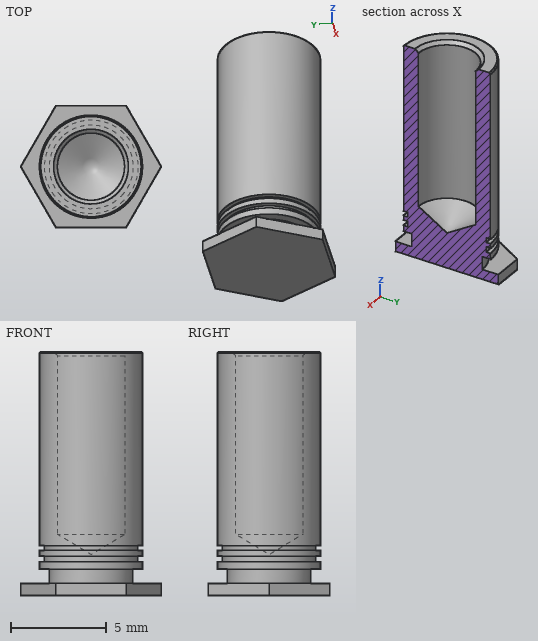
import cadquery as cq
import math

total_height = 12.7
hex_across_flats = 6.35
hex_thickness = 0.63

barrel_diameter = 5.38
groove_diameter = 4.88
neck_diameter = 4.37

neck_top = 1.38
lower_groove_bottom = 1.76
lower_groove_top = 2.05
upper_groove_bottom = 2.35
upper_groove_top = 2.6

rim_chamfer = 0.08
bore_chamfer = 0.2

bore_diameter = 3.5
bore_depth = 9.5
drill_point_angle = 118


def make_head():
    """Hexagonal head with two flats facing +Y and -Y."""
    across_corners = hex_across_flats / math.cos(math.radians(30))
    return cq.Workplane("XY").polygon(6, across_corners).extrude(hex_thickness)


def make_neck():
    """Narrow neck between the head and the barrel."""
    return cq.Workplane("XY").circle(neck_diameter / 2).extrude(neck_top)


def make_barrel():
    """Round barrel with a chamfered rim at its open end."""
    barrel_length = total_height - neck_top
    barrel = cq.Workplane("XY", origin=(0, 0, neck_top)).circle(barrel_diameter / 2).extrude(barrel_length)
    return barrel.faces(">Z").edges().chamfer(rim_chamfer)


def make_groove(bottom, top):
    """Ring to remove from the barrel between two heights."""
    section = cq.Workplane("XY", origin=(0, 0, bottom)).circle(barrel_diameter / 2).circle(groove_diameter / 2)
    return section.extrude(top - bottom)


def make_bore():
    """Revolved blind bore, with its chamfered mouth and conical bottom."""
    bore_radius = bore_diameter / 2
    mouth_radius = bore_radius + bore_chamfer
    cone_base = total_height - bore_depth
    cone_height = bore_radius / math.tan(math.radians(drill_point_angle / 2))
    profile = [
        (0, cone_base - cone_height),
        (bore_radius, cone_base),
        (bore_radius, total_height - bore_chamfer),
        (mouth_radius, total_height),
        (0, total_height),
    ]
    return cq.Workplane("XZ").polyline(profile).close().revolve(360, (0, 0), (0, 1))


result = make_head().union(make_neck()).union(make_barrel())
for groove_bottom, groove_top in (
    (lower_groove_bottom, lower_groove_top),
    (upper_groove_bottom, upper_groove_top),
):
    result = result.cut(make_groove(groove_bottom, groove_top))
result = result.cut(make_bore())